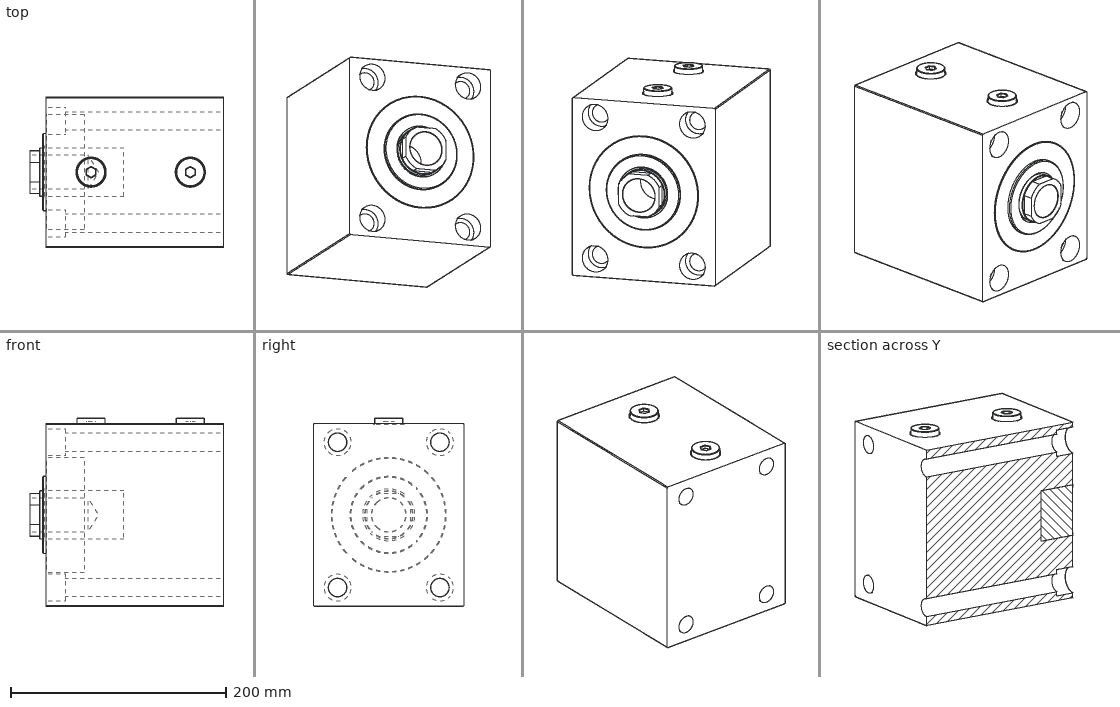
import cadquery as cq

OVERALL_LENGTH = 180.0

BLOCK_LENGTH = 165.0
BLOCK_WIDTH = 140.0
BLOCK_HEIGHT = 170.0
BLOCK_CHAMFER = 0.9
BLOCK_TOP = BLOCK_HEIGHT / 2

BOLT_SPACING_Y = 95.0
BOLT_SPACING_Z = 135.0
BOLT_DIAMETER = 17.0
BOLT_HEAD_DIAMETER = 25.0
BOLT_HEAD_DEPTH = 18.0

GLAND_DIAMETER = 106.7
GLAND_DEPTH = 36.0
GLAND_CHAMFER = 0.7
BOSS_DIAMETER = 72.0
BOSS_HEIGHT = 3.0
BOSS_CHAMFER = 0.9
ROD_RECESS_DIAMETER = 48.5
ROD_RECESS_DEPTH = 1.8

ROD_DIAMETER = 45.0
ROD_CHAMFER = 0.5
ROD_COLLAR_LENGTH = 2.9
ROD_PROTRUSION = OVERALL_LENGTH - BLOCK_LENGTH
ROD_DEPTH = 72.0
TIP_DIAMETER = ROD_DIAMETER - 2 * ROD_CHAMFER
TIP_FLATS = 40.0
TIP_LENGTH = ROD_PROTRUSION - BOSS_HEIGHT - ROD_COLLAR_LENGTH
ROD_HOLE_DIAMETER = 31.5
ROD_HOLE_CHAMFER = 0.4
ROD_HOLE_DEPTH = 54.0
ROD_HOLE_CONE_DEPTH = 9.9

PLUG_POSITIONS_X = (42.0, 134.1)
PLUG_DIAMETER = 26.3
PLUG_PROTRUSION = 5.0
PLUG_CHAMFER = 0.5
SPOT_FACE_DIAMETER = 28.0
SPOT_FACE_DEPTH = 1.0
PLUG_HEIGHT = PLUG_PROTRUSION + SPOT_FACE_DEPTH
SOCKET_SIDES = 6
SOCKET_FLATS = 8.3
SOCKET_CHAMFER = 0.5
SOCKET_CHAMFER_ANGLE = 45
SOCKET_DEPTH = 3.0


def disc_along_x(start, end, diameter):
    """Cylinder on the X axis between two X positions."""
    return cq.Workplane("YZ", origin=(start, 0, 0)).circle(diameter / 2).extrude(end - start)


def make_block():
    """Chamfered block with bolt holes, a stepped bore for gland and rod, and plug seats."""
    block = cq.Workplane("XY").box(BLOCK_LENGTH, BLOCK_WIDTH, BLOCK_HEIGHT)
    block = block.translate((BLOCK_LENGTH / 2, 0, 0)).edges("|X").chamfer(BLOCK_CHAMFER)
    block = (
        block.faces("<X").workplane(centerOption="CenterOfMass")
        .rect(BOLT_SPACING_Y, BOLT_SPACING_Z, forConstruction=True).vertices()
        .cboreHole(BOLT_DIAMETER, BOLT_HEAD_DIAMETER, BOLT_HEAD_DEPTH)
    )
    block = block.cut(disc_along_x(0, GLAND_DEPTH, GLAND_DIAMETER))
    block = block.cut(disc_along_x(0, ROD_DEPTH, ROD_DIAMETER))
    spot_faces = (
        cq.Workplane("XY", origin=(0, 0, BLOCK_TOP))
        .pushPoints([(x, 0) for x in PLUG_POSITIONS_X])
        .circle(SPOT_FACE_DIAMETER / 2).extrude(-SPOT_FACE_DEPTH)
    )
    return block.cut(spot_faces)


def make_gland():
    """Bush with a chamfered boss and a ring recess around the rod."""
    flange = disc_along_x(0, GLAND_DEPTH, GLAND_DIAMETER).faces("<X").chamfer(GLAND_CHAMFER)
    boss = disc_along_x(-BOSS_HEIGHT, 0, BOSS_DIAMETER).faces("<X").chamfer(BOSS_CHAMFER)
    bore = disc_along_x(-BOSS_HEIGHT, GLAND_DEPTH, ROD_DIAMETER)
    recess = disc_along_x(-BOSS_HEIGHT, ROD_RECESS_DEPTH - BOSS_HEIGHT, ROD_RECESS_DIAMETER)
    return flange.union(boss).cut(bore).cut(recess)


def make_rod():
    """Rod with a squared wrench tip and a blind, cone-ended hole."""
    tip_start = -ROD_PROTRUSION
    tip_end = tip_start + TIP_LENGTH
    shaft = disc_along_x(tip_end, ROD_DEPTH, ROD_DIAMETER).faces("<X").chamfer(ROD_CHAMFER)
    square = cq.Workplane("YZ", origin=(tip_start, 0, 0)).rect(TIP_FLATS, TIP_FLATS).extrude(TIP_LENGTH)
    tip = disc_along_x(tip_start, tip_end, TIP_DIAMETER).intersect(square)
    hole_radius = ROD_HOLE_DIAMETER / 2
    cone_start = tip_start + ROD_HOLE_DEPTH
    hole = (
        cq.Workplane("XY")
        .moveTo(tip_start, 0)
        .lineTo(tip_start, hole_radius + ROD_HOLE_CHAMFER)
        .lineTo(tip_start + ROD_HOLE_CHAMFER, hole_radius)
        .lineTo(cone_start, hole_radius)
        .lineTo(cone_start + ROD_HOLE_CONE_DEPTH, 0)
        .close()
        .revolve(360, (0, 0, 0), (1, 0, 0))
    )
    return shaft.union(tip).cut(hole)


def make_plug(x):
    """Round plug with a hexagon socket."""
    seat = cq.Workplane("XY", origin=(x, 0, BLOCK_TOP - SPOT_FACE_DEPTH))
    plug = seat.circle(PLUG_DIAMETER / 2).extrude(PLUG_HEIGHT).faces(">Z").chamfer(PLUG_CHAMFER)
    plug_top = cq.Workplane("XY", origin=(x, 0, BLOCK_TOP + PLUG_PROTRUSION))
    socket = plug_top.polygon(SOCKET_SIDES, SOCKET_FLATS, circumscribed=True).extrude(-SOCKET_DEPTH)
    socket_mouth = (
        plug_top.polygon(SOCKET_SIDES, SOCKET_FLATS + 2 * SOCKET_CHAMFER, circumscribed=True)
        .extrude(-SOCKET_CHAMFER, taper=SOCKET_CHAMFER_ANGLE)
    )
    return plug.cut(socket).cut(socket_mouth)


block = make_block()
gland = make_gland()
rod = make_rod()
plugs = [make_plug(x) for x in PLUG_POSITIONS_X]

result = cq.Compound.makeCompound(
    [block.val(), gland.val(), rod.val(), *[plug.val() for plug in plugs]]
)